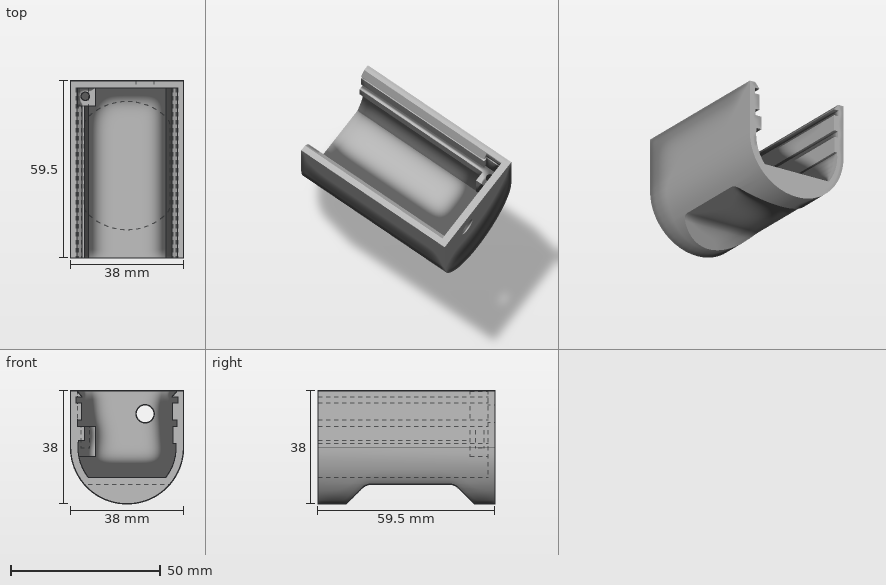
import cadquery as cq
import math

length = 59.5
width = 38.0
outer_radius = width / 2
top_z = 19.0
end_wall = 2.5

cavity_radius = 16.5
floor_z = top_z - 29.1

mouth_inset = 2.15
lip_inset = 3.9
upper_groove_inset = 1.95
upper_rib_inset = 3.8
lower_groove_inset = 2.3
left_rib_inset = 4.75
right_rib_inset = 3.6

lip_z = top_z - 2.1
upper_rib_top_z = top_z - 4.15
upper_rib_bottom_z = top_z - 9.75
lower_rib_top_z = top_z - 12.1
left_rib_bottom_z = top_z - 16.65
right_rib_bottom_z = top_z - 17.7

block_inset = 8.4
block_length = 6.0
block_bottom_z = top_z - 22.15
screw_diameter = 2.8
screw_depth = 7.15
screw_inset = 5.0
screw_from_back = 5.25

cable_diameter = 6.0
cable_x = 6.05
cable_z = top_z - 7.75

recess_height = 6.6
recess_front_y = 9.45
recess_back_y = length - 6.95
recess_fillet = 4.45


def cavity_half_width(z):
    """Half width of the round part of the cavity at level z."""
    return math.sqrt(cavity_radius**2 - z**2)


def wall_points(rib_inset, rib_bottom_z):
    """Stepped inner face of the right-hand wall, from the mouth down to the round part."""
    steps = [
        (mouth_inset, top_z),
        (lip_inset, lip_z),
        (upper_groove_inset, lip_z),
        (upper_groove_inset, upper_rib_top_z),
        (upper_rib_inset, upper_rib_top_z),
        (upper_rib_inset, upper_rib_bottom_z),
        (lower_groove_inset, upper_rib_bottom_z),
        (lower_groove_inset, lower_rib_top_z),
        (rib_inset, lower_rib_top_z),
        (rib_inset, rib_bottom_z),
    ]
    points = [(outer_radius - inset, z) for inset, z in steps]
    return points + [(cavity_half_width(rib_bottom_z), rib_bottom_z)]


def make_body():
    """Solid trough blank, extruded from the open end toward +Y."""
    return (
        cq.Workplane("XZ")
        .moveTo(-outer_radius, top_z)
        .lineTo(-outer_radius, 0)
        .threePointArc((0, -outer_radius), (outer_radius, 0))
        .lineTo(outer_radius, top_z)
        .close()
        .extrude(-length)
    )


def make_cavity():
    """Space inside the trough, running from the open end to the end wall."""
    right = wall_points(right_rib_inset, right_rib_bottom_z)
    left = [(-x, z) for x, z in wall_points(left_rib_inset, left_rib_bottom_z)]
    floor_half_width = cavity_half_width(floor_z)
    arc_mid_z = floor_z / 2
    arc_mid_x = cavity_half_width(arc_mid_z)
    return (
        cq.Workplane("XZ")
        .polyline(right)
        .threePointArc((arc_mid_x, arc_mid_z), (floor_half_width, floor_z))
        .lineTo(-floor_half_width, floor_z)
        .threePointArc((-arc_mid_x, arc_mid_z), left[-1])
        .polyline(left[-2::-1], includeCurrent=True)
        .close()
        .extrude(-(length - end_wall))
    )


def corner_box(bottom_z, upper_z):
    """Box over the footprint of the screw block, between two levels."""
    box = cq.Workplane("XY").box(
        block_inset - lower_groove_inset,
        block_length,
        upper_z - bottom_z,
        centered=False,
    )
    front_y = length - end_wall - block_length
    return box.translate((lower_groove_inset - outer_radius, front_y, bottom_z))


def make_screw_block():
    """Corner block, level with the lower left rib and merged into the wall and end wall."""
    return corner_box(block_bottom_z, lower_rib_top_z)


def make_screw_access():
    """Clearance through the lip and upper rib, straight above the screw block."""
    return corner_box(lower_rib_top_z, top_z)


def make_screw_hole():
    """Blind vertical hole in the top of the screw block."""
    return (
        cq.Workplane("XY", origin=(screw_inset - outer_radius, length - screw_from_back, lower_rib_top_z))
        .circle(screw_diameter / 2)
        .extrude(-screw_depth)
    )


def make_cable_hole():
    """Hole through the end wall."""
    return (
        cq.Workplane("XZ", origin=(cable_x, length, cable_z))
        .circle(cable_diameter / 2)
        .extrude(end_wall)
    )


def make_recess():
    """Trapezoidal cut across the underside, rounded at its two upper corners."""
    bottom_z = -outer_radius
    recess_z = bottom_z + recess_height
    return (
        cq.Workplane("YZ")
        .moveTo(recess_front_y, bottom_z)
        .lineTo(recess_front_y + recess_height, recess_z)
        .lineTo(recess_back_y - recess_height, recess_z)
        .lineTo(recess_back_y, bottom_z)
        .close()
        .extrude(outer_radius, both=True)
        .edges("|X and >Z")
        .fillet(recess_fillet)
    )


result = (
    make_body()
    .cut(make_cavity())
    .union(make_screw_block())
    .cut(make_screw_access())
    .cut(make_screw_hole())
    .cut(make_cable_hole())
    .cut(make_recess())
)